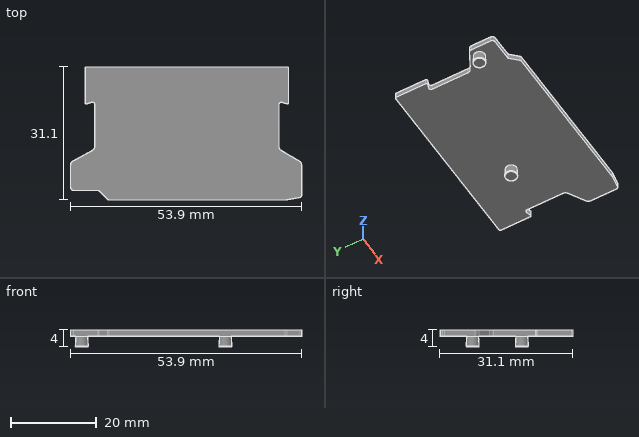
import cadquery as cq

plate_length = 53.9
plate_width = 31.05
total_height = 4.0
plate_thickness = 1.5
peg_height = total_height - plate_thickness

centre_x = 27.1
head_half = 23.7
waist_half = 21.5
head_left = centre_x - head_half
head_right = centre_x + head_half
waist_left = centre_x - waist_half
waist_right = centre_x + waist_half

hook_tip_y = 22.25
notch_top_y = 22.95
shoulder_top_y = 11.85
shoulder_bottom_y = 8.8

step_depth = 2.2
step_start_x = 6.6
step_end_x = step_start_x + step_depth
taper_start_x = 50.25
taper_rise = 0.65

head_radius = 0.4
hook_radius = 0.3
notch_radius = 0.5
shoulder_radius = 1.1
step_corner_radius = 0.75
step_radius = 0.45
taper_start_radius = 2.15
taper_corner_radius = 0.55

peg_centres = [(2.65, 7.6), (36.1, 19.1)]
peg_root_radius = 1.4
peg_rim_radius = 1.535
peg_rim_height = 0.25
peg_tip_radius = 1.45


def round_corners(body, points, radius):
    """Round the upright edges of the plate that stand at the given points."""
    for x, y in points:
        edge = cq.selectors.NearestToPointSelector((x, y, plate_thickness / 2))
        body = body.edges("|Z").edges(edge).fillet(radius)
    return body


def make_plate():
    head_corners = [(head_left, plate_width), (head_right, plate_width)]
    hook_corners = [(head_left, hook_tip_y), (head_right, hook_tip_y)]
    notch_corners = [(waist_left, notch_top_y), (waist_right, notch_top_y)]
    shoulder_corners = [
        (waist_left, shoulder_top_y),
        (0, shoulder_bottom_y),
        (waist_right, shoulder_top_y),
        (plate_length, shoulder_bottom_y),
    ]
    step_corners = [(step_start_x, step_depth), (step_end_x, 0)]
    step_outer_corner = (0, step_depth)
    taper_start = (taper_start_x, 0)
    taper_corner = (plate_length, taper_rise)

    outline = [
        step_corners[1],
        taper_start,
        taper_corner,
        shoulder_corners[3],
        shoulder_corners[2],
        notch_corners[1],
        hook_corners[1],
        head_corners[1],
        head_corners[0],
        hook_corners[0],
        notch_corners[0],
        shoulder_corners[0],
        shoulder_corners[1],
        step_outer_corner,
        step_corners[0],
    ]
    plate = cq.Workplane("XY").polyline(outline).close().extrude(plate_thickness)
    plate = round_corners(plate, head_corners, head_radius)
    plate = round_corners(plate, hook_corners, hook_radius)
    plate = round_corners(plate, notch_corners, notch_radius)
    plate = round_corners(plate, shoulder_corners, shoulder_radius)
    plate = round_corners(plate, step_corners, step_radius)
    plate = round_corners(plate, [step_outer_corner], step_corner_radius)
    plate = round_corners(plate, [taper_start], taper_start_radius)
    return round_corners(plate, [taper_corner], taper_corner_radius)


def make_peg(x, y):
    """Peg hanging below the plate, widening to a rim just above its tip."""
    return (
        cq.Workplane("YZ", origin=(x, y, 0))
        .polyline([
            (0, 0),
            (-peg_root_radius, 0),
            (-peg_rim_radius, peg_rim_height - peg_height),
            (-peg_tip_radius, -peg_height),
            (0, -peg_height),
        ])
        .close()
        .revolve(360, (0, 0, 0), (0, 1, 0))
    )


result = make_plate()
for peg_x, peg_y in peg_centres:
    result = result.union(make_peg(peg_x, peg_y))